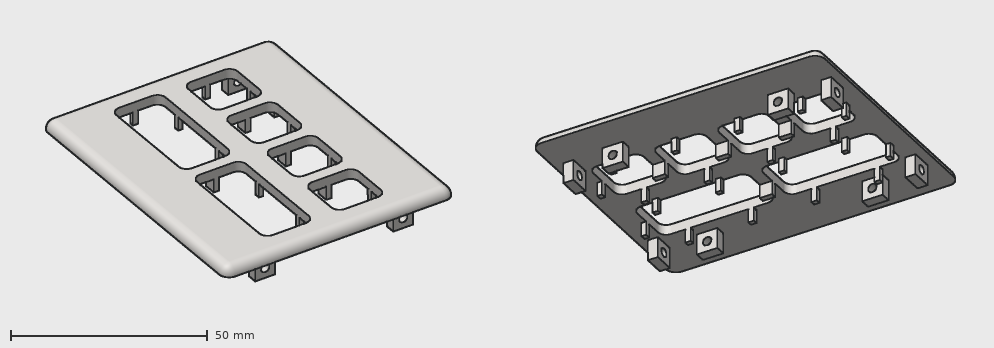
import cadquery as cq

plate_length = 85.0
plate_width = 70.0
plate_thickness = 3.0
edge_radius = plate_thickness

small_count = 4
long_count = 2
window_size = 15.0
window_gap = 3.65
row_gap = 7.0
window_corner_radius = 2.5
small_pitch = window_size + window_gap
long_window_length = window_size + small_pitch
long_pitch = 2 * small_pitch
row_offset = (window_size + row_gap) / 2

post_height = 4.0
post_width = 1.6
post_thickness = 1.4

tab_height = 6.0
tab_width = 6.0
tab_thickness = 3.0
tab_hole_diameter = 2.5
side_tab_x = plate_length / 2 - edge_radius - tab_thickness / 2
side_tab_y = 21.0
end_tab_x = 24.4
end_tab_outer_y = 25.0
end_tab_y = end_tab_outer_y - tab_thickness / 2


def centred_row(count, pitch):
    """Positions of evenly spaced items, centred on zero."""
    return [(index - (count - 1) / 2) * pitch for index in range(count)]


small_centres = centred_row(small_count, small_pitch)
long_centres = centred_row(long_count, long_pitch)


def hanging_block(x, y, size_x, size_y, height):
    """Block centred on (x, y) that hangs below the plate."""
    block = cq.Workplane("XY").box(size_x, size_y, height, centered=(True, True, False))
    return block.translate((x, y, -height))


def make_plate():
    """Plate whose upper edges and corners are fully rounded: the top of a taller rounded box."""
    tall_height = 3 * plate_thickness
    rounded = cq.Workplane("XY").box(plate_length, plate_width, tall_height).edges().fillet(edge_radius)
    rounded = rounded.translate((0, 0, plate_thickness - tall_height / 2))
    upper_part = cq.Workplane("XY").box(
        plate_length, plate_width, plate_thickness, centered=(True, True, False)
    )
    return rounded.intersect(upper_part)


def make_windows(length, centres, y):
    """Row of rounded rectangular cutters through the plate."""
    return (
        cq.Workplane("XY")
        .pushPoints([(x, y) for x in centres])
        .rect(length, window_size)
        .extrude(plate_thickness)
        .edges("|Z")
        .fillet(window_corner_radius)
    )


def add_posts(body):
    """Posts on the front and back edges, at the row ends and between neighbouring windows."""
    edge_offset = (window_size + post_thickness) / 2
    end_x = (small_count * small_pitch - window_gap + post_thickness) / 2
    for row_y, gap_count in ((row_offset, small_count - 1), (-row_offset, long_count - 1)):
        for x in small_centres:
            for y in (row_y - edge_offset, row_y + edge_offset):
                body = body.union(hanging_block(x, y, post_width, post_thickness, post_height))
        for x in (-end_x, end_x):
            body = body.union(hanging_block(x, row_y, post_thickness, post_width, post_height))
        for x in centred_row(gap_count, small_pitch):
            body = body.union(hanging_block(x, row_y, window_gap, post_width, post_height))
    return body


def add_tabs(body):
    """Side tabs drilled along X and end tabs drilled along Y, mirrored to all four corners."""
    for side_x in (-1, 1):
        for side_y in (-1, 1):
            side_tab = hanging_block(
                side_x * side_tab_x, side_y * side_tab_y, tab_thickness, tab_width, tab_height
            )
            side_tab = side_tab.faces(">X").workplane(centerOption="CenterOfMass").hole(tab_hole_diameter)
            end_tab = hanging_block(
                side_x * end_tab_x, side_y * end_tab_y, tab_width, tab_thickness, tab_height
            )
            end_tab = end_tab.faces(">Y").workplane(centerOption="CenterOfMass").hole(tab_hole_diameter)
            body = body.union(side_tab).union(end_tab)
    return body


result = make_plate()
result = result.cut(make_windows(window_size, small_centres, row_offset))
result = result.cut(make_windows(long_window_length, long_centres, -row_offset))
result = add_posts(result)
result = add_tabs(result)